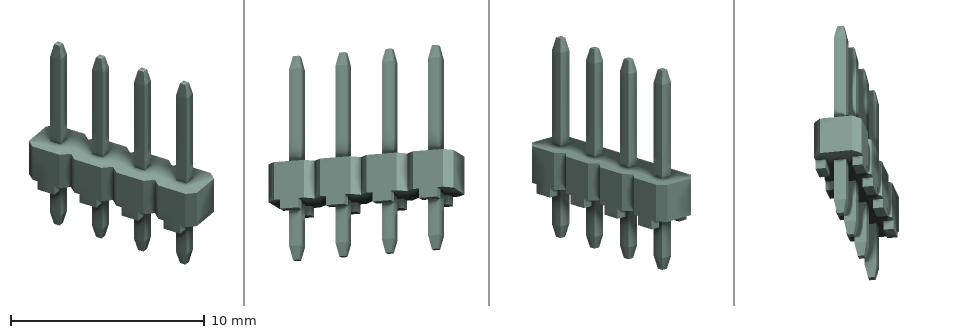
import cadquery as cq

pin_count = 4

housing_length = 10.16
housing_depth = 2.5
housing_height = 2.0
corner_length = 0.44
corner_depth = 0.4
pitch = housing_length / pin_count

foot_width = 1.0
foot_depth = 0.54
foot_height = 0.5

pin_length = 10.8
pin_width = 0.64
pin_above_housing = 5.8
tip_width = 0.33
tip_height = 0.7

pin_top = housing_height + pin_above_housing
pin_bottom = pin_top - pin_length

pin_positions = [(i - (pin_count - 1) / 2) * pitch for i in range(pin_count)]


def housing_cell(x):
    """Octagonal block that holds one pin; neighbours meet at V notches."""
    half_length = pitch / 2
    half_depth = housing_depth / 2
    flat_x = half_length - corner_length
    flat_y = half_depth - corner_depth
    outline = [
        (-half_length, -flat_y),
        (-flat_x, -half_depth),
        (flat_x, -half_depth),
        (half_length, -flat_y),
        (half_length, flat_y),
        (flat_x, half_depth),
        (-flat_x, half_depth),
        (-half_length, flat_y),
    ]
    return cq.Workplane("XY").center(x, 0).polyline(outline).close().extrude(housing_height)


def feet(x):
    """Pair of feet, flush with the front and rear faces of one cell."""
    foot_y = (housing_depth - foot_depth) / 2
    return (
        cq.Workplane("XY")
        .pushPoints([(x, -foot_y), (x, foot_y)])
        .rect(foot_width, foot_depth)
        .extrude(-foot_height)
    )


def pin_tip(x, base_z, direction):
    """Tapered pin end, pointing up (direction 1) or down (direction -1)."""
    return (
        cq.Workplane("XY", origin=(x, 0, base_z))
        .rect(pin_width, pin_width)
        .workplane(offset=direction * tip_height)
        .rect(tip_width, tip_width)
        .loft(ruled=True)
    )


def pin(x):
    """Square pin with a tapered tip at each end."""
    shank_bottom = pin_bottom + tip_height
    shank_top = pin_top - tip_height
    shank = (
        cq.Workplane("XY", origin=(x, 0, shank_bottom))
        .rect(pin_width, pin_width)
        .extrude(shank_top - shank_bottom)
    )
    return shank.union(pin_tip(x, shank_top, 1)).union(pin_tip(x, shank_bottom, -1))


result = housing_cell(pin_positions[0])
for position in pin_positions[1:]:
    result = result.union(housing_cell(position))
for position in pin_positions:
    result = result.union(feet(position)).union(pin(position))
result = result.clean()